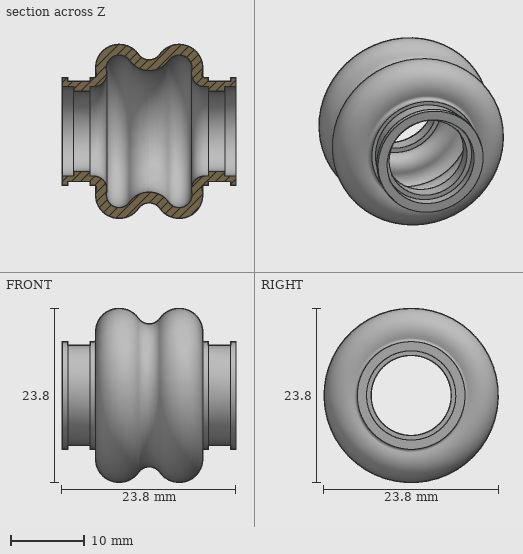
import cadquery as cq
import math

length = 23.75
outer_radius = 11.9
flange_radius = 7.35
flange_width = 0.76
neck_radius = 6.85
collar_outer_end = 8.07
collar_inner_end = 7.57

mouth_radius = 6.1
mouth_depth = 1.55
bore_radius = 5.45

bulge_x = 4.1
bulge_round = 3.25
valley_radius = 9.79
wall = 1.5

half_length = length / 2
bulge_r = outer_radius - bulge_round


def valley_round(round_radius, bottom_radius):
    """Radius of the arc on the middle plane that is tangent to the bulge arc."""
    rise = bottom_radius - bulge_r
    return (bulge_x**2 + rise**2 - round_radius**2) / (2 * (round_radius - rise))


def root_round(round_radius, sleeve_radius, sleeve_end):
    """Radius of the fillet tangent to the bulge arc and to the sleeve where it ends."""
    run = sleeve_end - bulge_x
    rise = bulge_r - sleeve_radius
    return (run**2 + rise**2 - round_radius**2) / (2 * (round_radius + rise))


def solid_half(sleeve_points, round_radius, bottom_radius):
    """Revolve the +X half: valley, bulge, root fillet, then the stepped sleeve (x, r) points."""
    sleeve_end, sleeve_radius = sleeve_points[0]
    valley = valley_round(round_radius, bottom_radius)
    root = root_round(round_radius, sleeve_radius, sleeve_end)
    valley_center_r = bottom_radius + valley
    root_center_r = sleeve_radius + root

    valley_share = round_radius / (round_radius + valley)
    valley_tangent = (
        bulge_x * (1 - valley_share),
        bulge_r + (valley_center_r - bulge_r) * valley_share,
    )
    root_share = round_radius / (round_radius + root)
    root_tangent = (
        bulge_x + (sleeve_end - bulge_x) * root_share,
        bulge_r + (root_center_r - bulge_r) * root_share,
    )
    valley_angle = math.atan2(valley_tangent[1] - valley_center_r, valley_tangent[0])
    valley_mid_angle = (valley_angle - math.pi / 2) / 2
    valley_mid = (
        valley * math.cos(valley_mid_angle),
        valley_center_r + valley * math.sin(valley_mid_angle),
    )
    root_angle = math.atan2(root_tangent[1] - root_center_r, root_tangent[0] - sleeve_end)
    root_angle %= 2 * math.pi
    root_mid_angle = (root_angle + 3 * math.pi / 2) / 2
    root_mid = (
        sleeve_end + root * math.cos(root_mid_angle),
        root_center_r + root * math.sin(root_mid_angle),
    )

    profile = (
        cq.Workplane("XZ")
        .moveTo(0, 0)
        .lineTo(0, bottom_radius)
        .threePointArc(valley_mid, valley_tangent)
        .threePointArc((bulge_x, bulge_r + round_radius), root_tangent)
        .threePointArc(root_mid, sleeve_points[0])
    )
    for point in sleeve_points[1:]:
        profile = profile.lineTo(*point)
    profile = profile.lineTo(half_length, 0).close()
    return profile.revolve(360, (0, 0, 0), (1, 0, 0))


outer_sleeve = [
    (collar_inner_end, flange_radius),
    (collar_outer_end, flange_radius),
    (collar_outer_end, neck_radius),
    (half_length - flange_width, neck_radius),
    (half_length - flange_width, flange_radius),
    (half_length, flange_radius),
]
outside = solid_half(outer_sleeve, bulge_round, valley_radius)

inner_sleeve = [
    (collar_inner_end, mouth_radius),
    (collar_outer_end, mouth_radius),
    (collar_outer_end, bore_radius),
    (half_length - mouth_depth, bore_radius),
    (half_length - mouth_depth, mouth_radius),
    (half_length, mouth_radius),
]
inside = solid_half(inner_sleeve, bulge_round - wall, valley_radius - wall)

half = outside.cut(inside)
result = half.union(half.rotate((0, 0, 0), (0, 0, 1), 180))